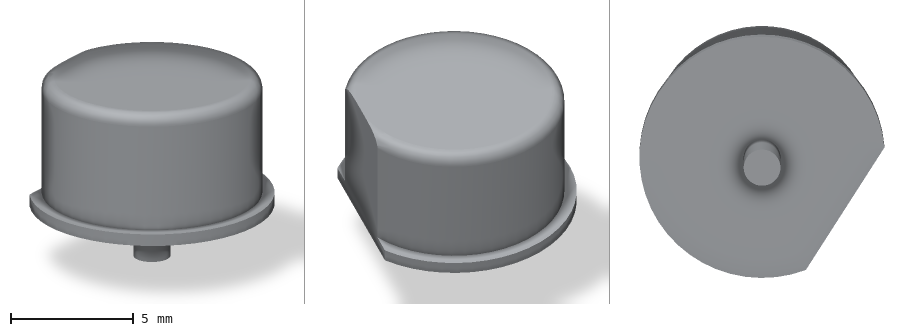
import cadquery as cq

flange_diameter = 9.98
flange_thickness = 0.5
body_diameter = 8.98
body_height = 4.99
top_edge_radius = 0.5
flat_distance = 3.99
pin_diameter = 1.5
pin_length = 2.27


def make_flange():
    """Round base flange with its underside at Z = 0."""
    return cq.Workplane("XY").circle(flange_diameter / 2).extrude(flange_thickness)


def make_body():
    """Cylindrical body with a rounded top edge, standing on the flange."""
    return (
        cq.Workplane("XY")
        .workplane(offset=flange_thickness)
        .circle(body_diameter / 2)
        .extrude(body_height)
        .faces(">Z")
        .edges()
        .fillet(top_edge_radius)
    )


def make_flat_envelope():
    """Block that keeps everything on the +X side of the flat."""
    width = flat_distance + flange_diameter / 2
    return (
        cq.Workplane("XY")
        .box(width, flange_diameter, flange_thickness + body_height, centered=(False, True, False))
        .translate((-flat_distance, 0, 0))
    )


def make_pin():
    """Central pin hanging below the flange."""
    return cq.Workplane("XY").circle(pin_diameter / 2).extrude(-pin_length)


result = make_flange().union(make_body()).intersect(make_flat_envelope()).union(make_pin())